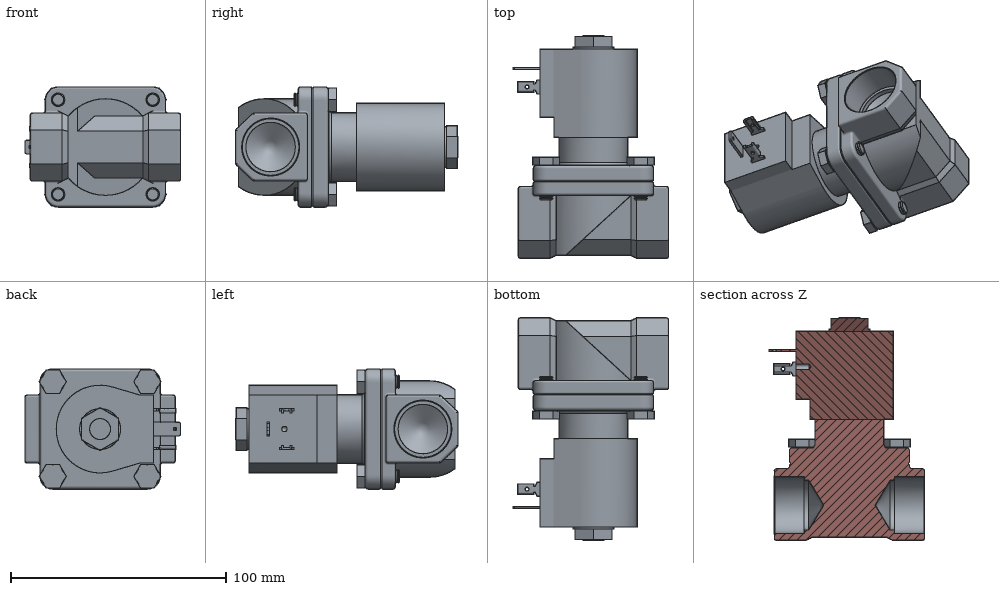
import cadquery as cq
import math


PORT_HALF_LENGTH = 35.0
PORT_HALF_WIDTH = 15.8
PORT_BOTTOM = 16.4
PORT_TOP = 17.1
PORT_BEVEL_START = 8.1
PORT_BOTTOM_HALF_WIDTH = 8.0
PORT_EDGE_FILLET = 1.1
SLEEVE_INNER_X = 20.1
WAIST_END_X = 17.4
WAIST_INSET = 1.3
WAIST_HALF_WIDTH = PORT_HALF_WIDTH - WAIST_INSET
WAIST_BOTTOM = PORT_BOTTOM - WAIST_INSET
WAIST_BOTTOM_HALF_WIDTH = 7.3
WAIST_BEVEL_START = 7.7
BORE_RADIUS = 13.1
BORE_MOUTH_CHAMFER = 0.3
BORE_DEPTH = 14.0
STEP_LENGTH = 2.1
STEP_RADIUS = 11.5
DRILL_HALF_ANGLE = math.radians(59)

BOWL_RADIUS = 22.5
BOWL_FLAT_END_X = -12.9

FLANGE_SIDE = 56.0
FLANGE_CORNER_RADIUS = 6.2
FLANGE_BOTTOM_Y = 12.8
FLANGE_TOP_Y = 19.0
COVER_BOTTOM_Y = 19.6
GASKET_INSET = 0.5
COVER_TOP_Y = 26.8
FLANGE_BOTTOM_FILLET = 1.1
FLANGE_TOP_FILLET = 0.5
COVER_BOTTOM_FILLET = 0.8
COVER_TOP_FILLET = 1.5
WALL_FILLET = 1.0
MARGIN = 0.1
NECK_RADIUS = 16.0
NECK_FOOT_RADIUS = 16.8
NECK_FOOT_RIM_Y = 27.1
NECK_FOOT_TOP_Y = 28.3

SCREW_PITCH = 44.0
SCREW_RADIUS = 3.1
SCREW_TIP_Y = 10.9
SCREW_ROOT_RADIUS = 2.6
THREAD_PITCH = 1.0
THREAD_TURNS = 2
HEAD_ACROSS_CORNERS = 12.6
HEAD_BOTTOM_Y = 27.0
HEAD_TOP_Y = 30.7
SCREW_COLLAR_RADIUS = 5.2

COIL_RADIUS = 20.4
COIL_BOTTOM_Y = 39.8
COIL_TOP_Y = 80.9
COIL_BACK_X = -18.4
TERMINAL_HALF_WIDTH = 15.8
TERMINAL_FACE_X = -24.9
TERMINAL_BOTTOM_Y = 49.2
FIXING_HOLE_RADIUS = 1.2
FIXING_HOLE_DEPTH = 6.2
FIXING_HOLE_Y = 64.4
PIN_THICKNESS = 1.0

EARTH_PIN_Y = 71.9
EARTH_PIN_TIP_X = -37.5
EARTH_PIN_WIDTH = 6.5
EARTH_PIN_TIP_CHAMFER = 0.7
EARTH_HOLE_X = -34.8
EARTH_HOLE_RADIUS = 0.7

CONTACT_Y = 63.3
CONTACT_OUTER_Z = 9.5
CONTACT_TIP_X = -35.2
CONTACT_FOLD_END_X = -27.6
CONTACT_WAIST_X = -27.1
CONTACT_FOOT_X = -26.2
CONTACT_HALF_WIDTH = 2.5
CONTACT_WAIST_HALF_WIDTH = 1.5
CONTACT_FOOT_HALF_WIDTH = 3.3
CONTACT_FOLD_HEIGHT = 2.0
CONTACT_BEND_RADIUS = 0.9
CONTACT_HOLE_X = -30.8
CONTACT_HOLE_RADIUS = 0.8

NUT_COLLAR_RADIUS = 9.5
NUT_COLLAR_TOP_Y = 81.9
NUT_ACROSS_FLATS = 17.3
NUT_TOP_Y = 86.8
STUD_RADIUS = 4.9
STUD_TOP_Y = 87.1


def plane_at_y(y):
    """Workplane in XZ at height y; its local axes are X and Z."""
    return cq.Workplane("XZ", origin=(0, y, 0))


def disc(radius, y_low, y_high, x=0, z=0):
    return plane_at_y(y_low).center(x, z).circle(radius).extrude(y_low - y_high)


def rounded_plate(side, corner_radius, y_low, y_high):
    plate = plane_at_y(y_low).rect(side, side).extrude(y_low - y_high)
    return plate.edges("|Y").fillet(corner_radius)


def flange_plate(y_low, y_high, low_fillet, high_fillet):
    plate = rounded_plate(FLANGE_SIDE, FLANGE_CORNER_RADIUS, y_low, y_high)
    return plate.faces("<Y").edges().fillet(low_fillet).faces(">Y").edges().fillet(high_fillet)


def gasket_band():
    """Set-back band that joins the flange and the cover."""
    return rounded_plate(
        FLANGE_SIDE - 2 * GASKET_INSET,
        FLANGE_CORNER_RADIUS - GASKET_INSET,
        FLANGE_TOP_Y - FLANGE_TOP_FILLET,
        COVER_BOTTOM_Y + COVER_BOTTOM_FILLET,
    )


def section_points(half_width, bottom, bevel_start, bottom_half_width):
    """Outline in (Y, Z) of a block with two bevels at its bottom."""
    return [
        (PORT_TOP, -half_width),
        (-bevel_start, -half_width),
        (-bottom, -bottom_half_width),
        (-bottom, bottom_half_width),
        (-bevel_start, half_width),
        (PORT_TOP, half_width),
    ]


SLEEVE_SECTION = section_points(
    PORT_HALF_WIDTH, PORT_BOTTOM, PORT_BEVEL_START, PORT_BOTTOM_HALF_WIDTH
)
WAIST_SECTION = section_points(
    WAIST_HALF_WIDTH, WAIST_BOTTOM, WAIST_BEVEL_START, WAIST_BOTTOM_HALF_WIDTH
)


def port_sleeve():
    """Sleeve and taper on the -X end."""
    sleeve = (
        cq.Workplane("YZ", origin=(-PORT_HALF_LENGTH, 0, 0))
        .polyline(SLEEVE_SECTION)
        .close()
        .extrude(PORT_HALF_LENGTH - SLEEVE_INNER_X)
        .edges("|X and >Y")
        .fillet(PORT_EDGE_FILLET)
        .faces("<X")
        .edges()
        .fillet(PORT_EDGE_FILLET)
    )
    taper = (
        cq.Workplane("YZ", origin=(-SLEEVE_INNER_X, 0, 0))
        .polyline(SLEEVE_SECTION)
        .close()
        .workplane(offset=SLEEVE_INNER_X - WAIST_END_X)
        .polyline(WAIST_SECTION)
        .close()
        .loft(ruled=True)
    )
    return sleeve.union(taper)


def port_block():
    waist = (
        cq.Workplane("YZ", origin=(-WAIST_END_X, 0, 0))
        .polyline(WAIST_SECTION)
        .close()
        .extrude(2 * WAIST_END_X)
    )
    sleeve = port_sleeve()
    return waist.union(sleeve).union(sleeve.mirror("YZ"))


def port_bore():
    """Chamfered bore with a stepped, conical end, entering from -X."""
    mouth = -PORT_HALF_LENGTH
    floor = mouth + BORE_DEPTH
    cone_depth = STEP_RADIUS / math.tan(DRILL_HALF_ANGLE)
    return (
        cq.Workplane("XY")
        .moveTo(mouth, 0)
        .lineTo(mouth, BORE_RADIUS + BORE_MOUTH_CHAMFER)
        .lineTo(mouth + BORE_MOUTH_CHAMFER, BORE_RADIUS)
        .lineTo(floor, BORE_RADIUS)
        .lineTo(floor, STEP_RADIUS)
        .lineTo(floor + STEP_LENGTH, STEP_RADIUS)
        .lineTo(floor + STEP_LENGTH + cone_depth, 0)
        .close()
        .revolve(360, (0, 0, 0), (1, 0, 0))
    )


def bowl():
    """Round chamber wall, kept between the sleeves and above the slanting plane."""
    profile = (
        cq.Workplane("XY", origin=(0, 0, -BOWL_RADIUS))
        .moveTo(-WAIST_END_X, -WAIST_BOTTOM)
        .lineTo(BOWL_FLAT_END_X, -WAIST_BOTTOM)
        .lineTo(WAIST_END_X, FLANGE_BOTTOM_Y)
        .lineTo(WAIST_END_X, PORT_TOP)
        .lineTo(-WAIST_END_X, PORT_TOP)
        .close()
        .extrude(2 * BOWL_RADIUS)
    )
    return profile.intersect(disc(BOWL_RADIUS, -WAIST_BOTTOM, PORT_TOP))


def screw(x, z):
    head = (
        plane_at_y(HEAD_BOTTOM_Y)
        .center(x, z)
        .polygon(6, HEAD_ACROSS_CORNERS)
        .extrude(HEAD_BOTTOM_Y - HEAD_TOP_Y)
    )
    collar = disc(SCREW_COLLAR_RADIUS, COVER_TOP_Y, HEAD_BOTTOM_Y, x, z)
    thread_top = SCREW_TIP_Y + THREAD_TURNS * THREAD_PITCH
    thread = cq.Workplane("XY").moveTo(0, SCREW_TIP_Y).lineTo(SCREW_ROOT_RADIUS, SCREW_TIP_Y)
    for turn in range(THREAD_TURNS):
        root_y = SCREW_TIP_Y + turn * THREAD_PITCH
        thread = thread.lineTo(SCREW_RADIUS, root_y + THREAD_PITCH / 2)
        thread = thread.lineTo(SCREW_ROOT_RADIUS, root_y + THREAD_PITCH)
    thread = thread.lineTo(0, thread_top).close().revolve(360, (0, 0, 0), (0, 1, 0))
    shank = disc(SCREW_ROOT_RADIUS, SCREW_TIP_Y, COVER_TOP_Y, x, z)
    return head.union(collar).union(shank).union(thread.translate((x, 0, z)))


def cover_neck():
    """Round neck with a conical foot, carrying the coil."""
    return (
        cq.Workplane("XY")
        .moveTo(0, COVER_TOP_Y)
        .lineTo(NECK_FOOT_RADIUS, COVER_TOP_Y)
        .lineTo(NECK_FOOT_RADIUS, NECK_FOOT_RIM_Y)
        .lineTo(NECK_RADIUS, NECK_FOOT_TOP_Y)
        .lineTo(NECK_RADIUS, COIL_BOTTOM_Y)
        .lineTo(0, COIL_BOTTOM_Y)
        .close()
        .revolve(360, (0, 0, 0), (0, 1, 0))
    )


def make_valve():
    flange = flange_plate(FLANGE_BOTTOM_Y, FLANGE_TOP_Y, FLANGE_BOTTOM_FILLET, FLANGE_TOP_FILLET)
    valve = flange.union(port_block())
    for end in (-1, 1):
        wall_corners = cq.selectors.BoxSelector(
            (end * (SLEEVE_INNER_X - MARGIN), FLANGE_BOTTOM_Y - MARGIN, -PORT_HALF_WIDTH - MARGIN),
            (end * (FLANGE_SIDE / 2 + MARGIN), PORT_TOP + MARGIN, PORT_HALF_WIDTH + MARGIN),
            boundingbox=True,
        )
        valve = valve.edges(wall_corners).fillet(WALL_FILLET)
    valve = valve.union(bowl())
    bore = port_bore()
    valve = valve.cut(bore).cut(bore.mirror("YZ"))
    valve = valve.union(gasket_band())
    valve = valve.union(
        flange_plate(COVER_BOTTOM_Y, COVER_TOP_Y, COVER_BOTTOM_FILLET, COVER_TOP_FILLET)
    )
    valve = valve.union(cover_neck())
    half_pitch = SCREW_PITCH / 2
    for x in (-half_pitch, half_pitch):
        for z in (-half_pitch, half_pitch):
            valve = valve.union(screw(x, z))
    return valve


def earth_pin():
    """Flat pin with clipped tip corners."""
    length = TERMINAL_FACE_X - EARTH_PIN_TIP_X
    pin = (
        cq.Workplane("XY")
        .box(length, PIN_THICKNESS, EARTH_PIN_WIDTH)
        .edges("<X and |Y")
        .chamfer(EARTH_PIN_TIP_CHAMFER)
        .translate((TERMINAL_FACE_X - length / 2, EARTH_PIN_Y, 0))
    )
    hole = disc(
        EARTH_HOLE_RADIUS,
        EARTH_PIN_Y - PIN_THICKNESS / 2,
        EARTH_PIN_Y + PIN_THICKNESS / 2,
        EARTH_HOLE_X,
    )
    return pin.cut(hole)


def contact_pin():
    """Waisted pin on the +Z side, with its two long edges folded towards the middle."""
    blade_length = CONTACT_FOLD_END_X - CONTACT_TIP_X
    blade = (
        cq.Workplane("XY")
        .box(blade_length, 2 * CONTACT_HALF_WIDTH, CONTACT_FOLD_HEIGHT)
        .edges("|X and >Z")
        .fillet(CONTACT_BEND_RADIUS)
    )
    channel = cq.Workplane("XY").box(
        blade_length, 2 * (CONTACT_HALF_WIDTH - PIN_THICKNESS), CONTACT_FOLD_HEIGHT
    )
    blade = blade.cut(channel.translate((0, 0, -PIN_THICKNESS)))
    blade = blade.translate(
        (
            CONTACT_TIP_X + blade_length / 2,
            CONTACT_Y,
            CONTACT_OUTER_Z - CONTACT_FOLD_HEIGHT / 2,
        )
    )
    upper_edge = [
        (CONTACT_FOLD_END_X, CONTACT_WAIST_HALF_WIDTH),
        (CONTACT_WAIST_X, CONTACT_WAIST_HALF_WIDTH),
        (CONTACT_FOOT_X, CONTACT_FOOT_HALF_WIDTH),
        (TERMINAL_FACE_X, CONTACT_FOOT_HALF_WIDTH),
    ]
    lower_edge = [(x, -y) for x, y in reversed(upper_edge)]
    foot = (
        cq.Workplane("XY", origin=(0, CONTACT_Y, CONTACT_OUTER_Z))
        .polyline(upper_edge + lower_edge)
        .close()
        .extrude(-PIN_THICKNESS)
    )
    hole = (
        cq.Workplane("XY", origin=(CONTACT_HOLE_X, CONTACT_Y, CONTACT_OUTER_Z))
        .circle(CONTACT_HOLE_RADIUS)
        .extrude(-CONTACT_FOLD_HEIGHT)
    )
    return blade.union(foot).cut(hole)


def fixing_hole():
    """Drilled blind hole in the terminal face."""
    floor = TERMINAL_FACE_X + FIXING_HOLE_DEPTH
    return (
        cq.Workplane("XY", origin=(0, FIXING_HOLE_Y, 0))
        .moveTo(TERMINAL_FACE_X, 0)
        .lineTo(TERMINAL_FACE_X, FIXING_HOLE_RADIUS)
        .lineTo(floor, FIXING_HOLE_RADIUS)
        .lineTo(floor + FIXING_HOLE_RADIUS / math.tan(DRILL_HALF_ANGLE), 0)
        .close()
        .revolve(360, (0, 0, 0), (1, 0, 0))
    )


def make_coil():
    corner_distance = math.hypot(COIL_BACK_X, TERMINAL_HALF_WIDTH)
    touch_angle = math.atan2(TERMINAL_HALF_WIDTH, COIL_BACK_X) - math.acos(COIL_RADIUS / corner_distance)
    touch_x = COIL_RADIUS * math.cos(touch_angle)
    touch_z = COIL_RADIUS * math.sin(touch_angle)
    coil = (
        plane_at_y(COIL_BOTTOM_Y)
        .moveTo(COIL_BACK_X, -TERMINAL_HALF_WIDTH)
        .lineTo(touch_x, -touch_z)
        .threePointArc((COIL_RADIUS, 0), (touch_x, touch_z))
        .lineTo(COIL_BACK_X, TERMINAL_HALF_WIDTH)
        .close()
        .extrude(COIL_BOTTOM_Y - COIL_TOP_Y)
    )
    terminal_block = cq.Workplane("XY").box(
        COIL_BACK_X - TERMINAL_FACE_X,
        COIL_TOP_Y - TERMINAL_BOTTOM_Y,
        2 * TERMINAL_HALF_WIDTH,
    )
    terminal_block = terminal_block.translate(
        ((COIL_BACK_X + TERMINAL_FACE_X) / 2, (COIL_TOP_Y + TERMINAL_BOTTOM_Y) / 2, 0)
    )
    coil = coil.union(terminal_block).cut(fixing_hole()).union(earth_pin())
    contact = contact_pin()
    return coil.union(contact).union(contact.mirror("XY"))


def make_nut():
    half_corner_angle = math.pi / 6
    hexagon = (
        plane_at_y(NUT_COLLAR_TOP_Y)
        .transformed(rotate=(0, 0, math.degrees(half_corner_angle)))
        .polygon(6, NUT_ACROSS_FLATS / math.cos(half_corner_angle))
        .extrude(NUT_COLLAR_TOP_Y - NUT_TOP_Y)
    )
    collar = disc(NUT_COLLAR_RADIUS, COIL_TOP_Y, NUT_COLLAR_TOP_Y)
    stud = disc(STUD_RADIUS, NUT_TOP_Y, STUD_TOP_Y)
    return hexagon.union(collar).union(stud)


valve = make_valve()
coil = make_coil()
nut = make_nut()

result = cq.Compound.makeCompound([valve.val(), coil.val(), nut.val()])